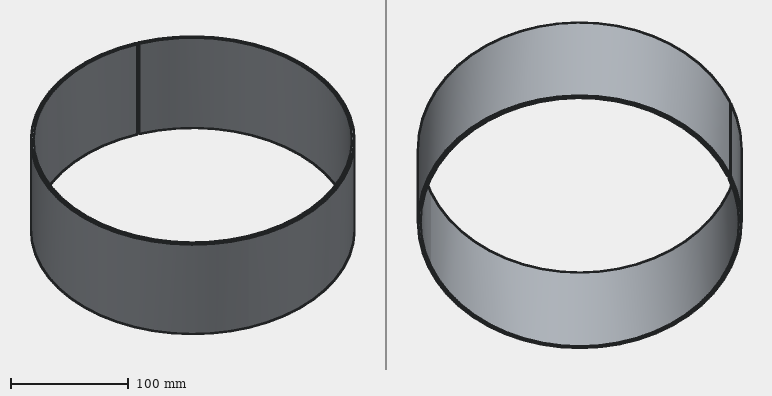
import cadquery as cq

outer_diameter = 275.0
height = 100.0
wall = 2.5
rim_chamfer = 0.5
slit_width = 2.2

outer_radius = outer_diameter / 2
inner_radius = outer_radius - wall

disc = cq.Workplane("XY").circle(outer_radius).extrude(height)
disc = disc.edges("%CIRCLE").chamfer(rim_chamfer)
bore = cq.Workplane("XY").circle(inner_radius).extrude(height)
ring = disc.cut(bore)

slit_depth = 2 * wall
slit = (
    cq.Workplane("XY")
    .box(slit_depth, slit_width, height, centered=False)
    .translate((-outer_radius, 0, 0))
)

result = ring.cut(slit)